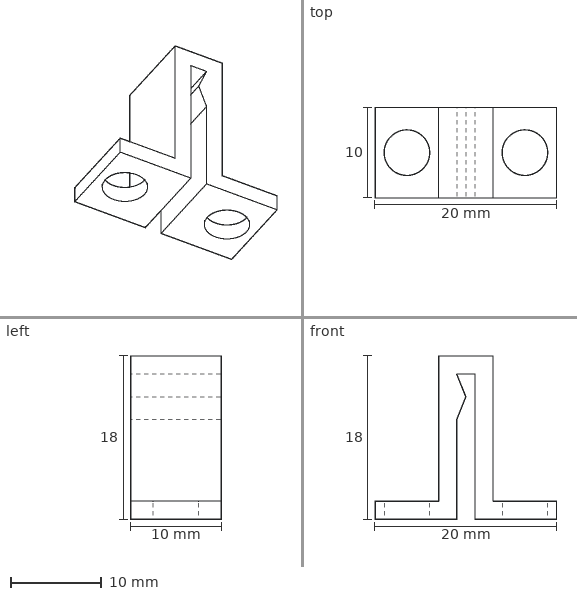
import cadquery as cq

length = 20.0
depth = 10.0
height = 18.0
wall = 2.0
slot_width = 2.0
hole_diameter = 5.0
tooth_reach = 1.0
tooth_height = 5.0

riser_width = slot_width + 2 * wall
slot_height = height - wall
hole_offset = (length + riser_width) / 4


def centred_block(width, block_height):
    """Full-depth block standing on Z = 0, centred in X and Y."""
    return cq.Workplane("XY").box(width, depth, block_height, centered=(True, True, False))


def retaining_tooth():
    """Triangular tooth on the -X wall of the slot, just under the top."""
    root_x = -slot_width / 2
    return (
        cq.Workplane("XZ")
        .moveTo(root_x, slot_height)
        .lineTo(root_x + tooth_reach, slot_height - tooth_height / 2)
        .lineTo(root_x, slot_height - tooth_height)
        .close()
        .extrude(depth / 2, both=True)
    )


def mounting_holes():
    """Vertical cylinders through both feet."""
    return (
        cq.Workplane("XY")
        .pushPoints([(-hole_offset, 0), (hole_offset, 0)])
        .circle(hole_diameter / 2)
        .extrude(wall)
    )


feet = centred_block(length, wall)
riser = centred_block(riser_width, height)
slot = centred_block(slot_width, slot_height).cut(retaining_tooth())

result = feet.union(riser).cut(slot).cut(mounting_holes())